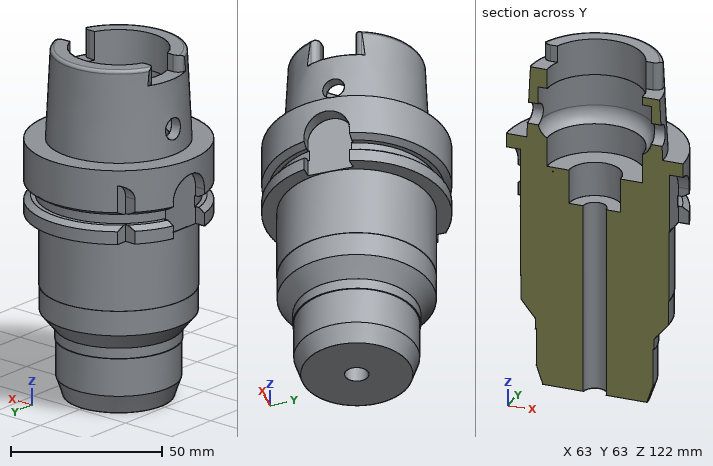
import cadquery as cq
import math

HEIGHT = 122.0

nose_end_radius = 18.5
nose_radius = 20.9
nose_chamfer_top_z = 6.7
collar_radius = 21.2
collar_bottom_z = 20.0
collar_top_z = 23.8
shoulder_radius = 26.4
shoulder_bottom_z = 30.0
shoulder_top_z = 38.7
body_radius = 26.5

flange_radius = 31.5
flange_bottom_z = 64.0
flange_top_z = 90.0
groove_radius = 27.6
groove_bottom_z = 70.0
groove_top_z = 73.8
groove_chamfer_height = 1.5
groove_chamfer_width = 2.3

taper_base_radius = 24.3
taper_per_side = 0.05
taper_top_radius = taper_base_radius - taper_per_side * (HEIGHT - flange_top_z)
rim_fillet = 1.2

mouth_radius = 17.0
mouth_bottom_z = 109.0
recess_radius = 20.1
recess_arc_z = 96.3
recess_arc_radius = 6.1
bore_floor_z = 80.5
coolant_radius = 9.2
coolant_depth = 12.2
through_radius = 4.0

drive_half_width = 6.2
drive_flare_radius = 2.6
drive_flare_x = 20.9
shallow_slot_z = 116.0
deep_slot_z = 112.0

cross_hole_radius = 3.8
cross_hole_z = 99.0

side_pocket_half_width = 7.9
side_pocket_top_z = 84.9
side_pocket_floor_x = 26.6
notch_half_width = 5.0
notch_top_z = 84.8
notch_corner = 20.1


def outer_body():
    outline = (
        cq.Workplane("XZ")
        .moveTo(0, 0)
        .lineTo(nose_end_radius, 0)
        .lineTo(nose_radius, nose_chamfer_top_z)
        .lineTo(nose_radius, collar_bottom_z)
        .lineTo(collar_radius, collar_bottom_z)
        .lineTo(collar_radius, collar_top_z)
        .lineTo(shoulder_radius, shoulder_bottom_z)
        .lineTo(shoulder_radius, shoulder_top_z)
        .lineTo(body_radius, shoulder_top_z)
        .lineTo(body_radius, flange_bottom_z)
        .lineTo(flange_radius, flange_bottom_z)
        .lineTo(flange_radius, groove_bottom_z - groove_chamfer_height)
        .lineTo(flange_radius - groove_chamfer_width, groove_bottom_z)
        .lineTo(groove_radius, groove_bottom_z)
        .lineTo(groove_radius, groove_top_z)
        .lineTo(flange_radius - groove_chamfer_width, groove_top_z)
        .lineTo(flange_radius, groove_top_z + groove_chamfer_height)
        .lineTo(flange_radius, flange_top_z)
        .lineTo(taper_base_radius, flange_top_z)
        .lineTo(taper_top_radius, HEIGHT)
        .lineTo(0, HEIGHT)
        .close()
    )
    body = outline.revolve(360, (0, 0), (0, 1))
    return body.faces(">Z").edges().fillet(rim_fillet)


def stepped_bore():
    coolant_floor_z = bore_floor_z - coolant_depth
    foot_offset = mouth_radius - (recess_radius - recess_arc_radius)
    arc_foot_z = recess_arc_z - math.sqrt(recess_arc_radius**2 - foot_offset**2)
    outline = (
        cq.Workplane("XZ")
        .moveTo(0, 0)
        .lineTo(through_radius, 0)
        .lineTo(through_radius, coolant_floor_z)
        .lineTo(coolant_radius, coolant_floor_z)
        .lineTo(coolant_radius, bore_floor_z)
        .lineTo(mouth_radius, bore_floor_z)
        .lineTo(mouth_radius, arc_foot_z)
        .radiusArc((recess_radius, recess_arc_z), -recess_arc_radius)
        .lineTo(recess_radius, mouth_bottom_z)
        .lineTo(mouth_radius, mouth_bottom_z)
        .lineTo(mouth_radius, HEIGHT)
        .lineTo(0, HEIGHT)
        .close()
    )
    return outline.revolve(360, (0, 0), (0, 1))


def drive_slot(side, floor_z):
    """Slot from the axis outward along side * X, its mouth flared by rounded corners."""
    flare_start_x = drive_flare_x - drive_flare_radius
    flare_end_y = drive_half_width + drive_flare_radius
    arc_mid_x = flare_start_x + drive_flare_radius * math.sin(math.pi / 4)
    arc_mid_y = flare_end_y - drive_flare_radius * math.cos(math.pi / 4)
    outline = (
        cq.Workplane("XY", origin=(0, 0, floor_z))
        .moveTo(0, -drive_half_width)
        .lineTo(side * flare_start_x, -drive_half_width)
        .threePointArc((side * arc_mid_x, -arc_mid_y), (side * drive_flare_x, -flare_end_y))
        .lineTo(side * drive_flare_x, -taper_base_radius)
        .lineTo(side * taper_base_radius, -taper_base_radius)
        .lineTo(side * taper_base_radius, taper_base_radius)
        .lineTo(side * drive_flare_x, taper_base_radius)
        .lineTo(side * drive_flare_x, flare_end_y)
        .threePointArc((side * arc_mid_x, arc_mid_y), (side * flare_start_x, drive_half_width))
        .lineTo(0, drive_half_width)
        .close()
    )
    return outline.extrude(HEIGHT - floor_z)


def flange_pocket(side, center_y, half_width, top_z, floor_x):
    """Round-topped pocket, open at the flange bottom, cut along X down to a flat floor."""
    arch_center_z = top_z - half_width
    outline = (
        cq.Workplane("YZ", origin=(side * floor_x, 0, 0))
        .moveTo(center_y - half_width, flange_bottom_z)
        .lineTo(center_y - half_width, arch_center_z)
        .threePointArc((center_y, top_z), (center_y + half_width, arch_center_z))
        .lineTo(center_y + half_width, flange_bottom_z)
        .close()
    )
    return outline.extrude(side * (flange_radius - floor_x))


cross_hole = (
    cq.Workplane("YZ")
    .center(0, cross_hole_z)
    .circle(cross_hole_radius)
    .extrude(taper_base_radius, both=True)
)

result = outer_body().cut(stepped_bore()).cut(cross_hole)
result = result.cut(drive_slot(-1, shallow_slot_z)).cut(drive_slot(1, deep_slot_z))
for side in (-1, 1):
    side_pocket = flange_pocket(
        side, 0, side_pocket_half_width, side_pocket_top_z, side_pocket_floor_x
    )
    result = result.cut(side_pocket)

orientation_notch = flange_pocket(
    -1, notch_corner + notch_half_width, notch_half_width, notch_top_z, notch_corner
)
result = result.cut(orientation_notch)